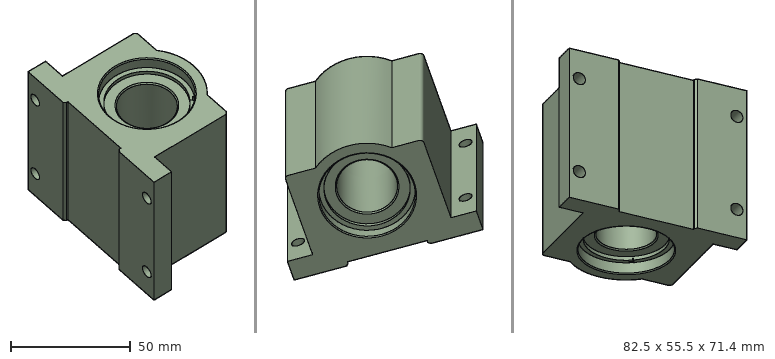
import cadquery as cq
import math


FLANGE_WIDTH = 82.55
FLANGE_THICKNESS = 9.5
LENGTH = 71.4
BODY_WIDTH = 60.4
SHOULDER_HEIGHT = 49.2
SHOULDER_FILLET = 1.65
TOTAL_HEIGHT = 55.5
BORE_HEIGHT = 30.2
CROWN_RADIUS = TOTAL_HEIGHT - BORE_HEIGHT
BORE_RADIUS = 20.15
BORE_CHAMFER = 0.5

RELIEF_WIDTH = 34.7
RELIEF_DEPTH = 1.8
RELIEF_CHAMFER = 1.0

HOLE_DIAMETER = 5.6
HOLE_SPACING_X = 73.1
HOLE_SPACING_Z = 44.5

BUSHING_LENGTH = 57.1
BUSHING_BORE_RADIUS = 12.7
BUSHING_CHAMFER = 0.6

RING_THICKNESS = 1.7
RING_INNER_RADIUS = 18.0
GROOVE_DEPTH = 0.7
RING_OUTER_RADIUS = BORE_RADIUS + GROOVE_DEPTH
RING_END_ANGLE = 55.0
SLIT_WIDTH = 0.2
NOTCH_ANGLE = 5.0
NOTCH_DEPTH = 1.5


def bore_cylinder(radius, length):
    """Cylinder on the bore axis, centred at mid-length."""
    return cq.Workplane("XY").circle(radius).extrude(length / 2, both=True).translate((0, BORE_HEIGHT, 0))


def make_profile():
    """Housing cross-section: flange, body and round crown."""
    flange = cq.Workplane("XY").box(FLANGE_WIDTH, FLANGE_THICKNESS, LENGTH, centered=(True, False, True))
    body = (
        cq.Workplane("XY")
        .box(BODY_WIDTH, SHOULDER_HEIGHT, LENGTH, centered=(True, False, True))
        .edges("|Z and >Y")
        .fillet(SHOULDER_FILLET)
    )
    return flange.union(body).union(bore_cylinder(CROWN_RADIUS, LENGTH))


def make_relief():
    """Shallow channel along Z, widened by a chamfer at the mounting face."""
    inner = RELIEF_WIDTH / 2
    outer = inner + RELIEF_CHAMFER
    return (
        cq.Workplane("XY")
        .polyline([
            (-outer, 0),
            (-inner, RELIEF_CHAMFER),
            (-inner, RELIEF_DEPTH),
            (inner, RELIEF_DEPTH),
            (inner, RELIEF_CHAMFER),
            (outer, 0),
        ])
        .close()
        .extrude(LENGTH / 2, both=True)
    )


def make_mounting_holes():
    """Four drills through the flange along Y."""
    return (
        cq.Workplane("XZ")
        .rarray(HOLE_SPACING_X, HOLE_SPACING_Z, 2, 2)
        .circle(HOLE_DIAMETER / 2)
        .extrude(-FLANGE_THICKNESS)
    )


def make_bore():
    """Through bore with a chamfered mouth at each end."""
    bore = bore_cylinder(BORE_RADIUS, LENGTH)
    for end in (-1, 1):
        mouth = (
            cq.Workplane("XY")
            .circle(BORE_RADIUS + BORE_CHAMFER)
            .extrude(-end * BORE_CHAMFER, taper=45)
            .translate((0, BORE_HEIGHT, end * LENGTH / 2))
        )
        bore = bore.union(mouth)
    return bore


def make_ring_grooves():
    """Grooves in the bore wall, one against each end face of the bushing."""
    ring_span = BUSHING_LENGTH + 2 * RING_THICKNESS
    return bore_cylinder(RING_OUTER_RADIUS, ring_span).cut(bore_cylinder(RING_OUTER_RADIUS, BUSHING_LENGTH))


def make_housing():
    block = make_profile().cut(make_relief()).cut(make_mounting_holes())
    return block.cut(make_bore()).cut(make_ring_grooves())


def make_bushing():
    """Plain sleeve filling the middle of the housing bore."""
    sleeve = bore_cylinder(BORE_RADIUS, BUSHING_LENGTH).cut(bore_cylinder(BUSHING_BORE_RADIUS, BUSHING_LENGTH))
    return sleeve.edges(cq.selectors.RadiusNthSelector(0)).chamfer(BUSHING_CHAMFER)


def make_ring():
    """Retaining ring for the +Z end; its outer turn ends at a slit and a removal notch."""
    turn = RING_THICKNESS / 2
    ring_width = RING_OUTER_RADIUS - RING_INNER_RADIUS
    ring = cq.Workplane("XY").circle(RING_OUTER_RADIUS).circle(RING_INNER_RADIUS).extrude(RING_THICKNESS)
    slit = (
        cq.Workplane("XY", origin=(RING_INNER_RADIUS + ring_width / 2, 0, turn))
        .rect(2 * ring_width, SLIT_WIDTH)
        .extrude(turn)
    )
    notch_length = RING_OUTER_RADIUS * math.radians(NOTCH_ANGLE)
    notch = (
        cq.Workplane("XY", origin=(RING_OUTER_RADIUS - NOTCH_DEPTH, 0, turn))
        .rect(2 * NOTCH_DEPTH, notch_length, centered=False)
        .extrude(turn)
    )
    end_cuts = slit.union(notch).rotate((0, 0, 0), (0, 0, 1), RING_END_ANGLE)
    return ring.cut(end_cuts).translate((0, BORE_HEIGHT, BUSHING_LENGTH / 2))


housing = make_housing()
bushing = make_bushing()

upper_ring = make_ring()
rings = [upper_ring, upper_ring.mirror("XY")]

result = cq.Compound.makeCompound([housing.val(), bushing.val(), *[ring.val() for ring in rings]])